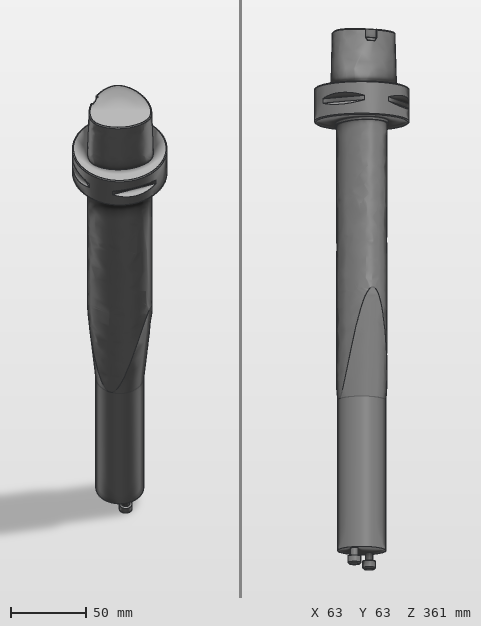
import cadquery as cq
import math

TOTAL_LENGTH = 361.0
SHANK_BOTTOM = 11.0
SHANK_TOP = 112.5
TAPER_TOP = 185.5
FLANGE_BOTTOM = 300.7
FLANGE_TOP = 323.5

SHANK_DIAMETER = 32.0
BODY_WIDTH = 45.0

FLANGE_DIAMETER = 63.0
FLANGE_CHAMFER = 0.7
COLLAR_HEIGHT = 1.8
COLLAR_MARGIN = 1.0

GROOVE_LENGTH = 31.0
GROOVE_FLOOR_HEIGHT = 3.0
GROOVE_MOUTH_HEIGHT = 8.0
GROOVE_COUNT = 4
FIRST_GROOVE_ANGLE = 45

COUPLING_BASE_RADIUS = 22.0
COUPLING_TOP_RADIUS = 21.0
LOBE_HEIGHT = 1.5
LOBE_COUNT = 3
OUTLINE_POINTS = 36
COUPLING_CHAMFER = 0.7

NOTCH_WIDTH = 8.0
NOTCH_FLOOR_WIDTH = 5.0
NOTCH_STRAIGHT_DEPTH = 5.8
NOTCH_DEPTH = 8.0
NOTCH_INSET = 1.8
NOTCH_TIP_INSET = 0.7

PIN_OFFSET = 8.0
PIN_STEM_DIAMETER = 5.0
PIN_HEAD_DIAMETER = 8.5
PIN_HEAD_HEIGHT = 5.5
PIN_CHAMFER = 1.0


def cylinder(diameter, bottom, top):
    return cq.Workplane("XY").workplane(offset=bottom).circle(diameter / 2).extrude(top - bottom)


def elliptical_prism(margin, bottom, top):
    """Body section grown by a margin, between two heights."""
    half_width = BODY_WIDTH / 2 + margin
    half_depth = SHANK_DIAMETER / 2 + margin
    return cq.Workplane("XY").workplane(offset=bottom).ellipse(half_width, half_depth).extrude(top - bottom)


def make_body():
    """Elliptical body, trimmed by a cone down to the round shank."""
    envelope = (
        cq.Workplane("XZ")
        .moveTo(0, SHANK_TOP)
        .lineTo(SHANK_DIAMETER / 2, SHANK_TOP)
        .lineTo(BODY_WIDTH / 2, TAPER_TOP)
        .lineTo(FLANGE_DIAMETER / 2, TAPER_TOP)
        .lineTo(FLANGE_DIAMETER / 2, FLANGE_BOTTOM)
        .lineTo(0, FLANGE_BOTTOM)
        .close()
        .revolve(360, (0, 0, 0), (0, 1, 0))
    )
    return elliptical_prism(0, SHANK_TOP, FLANGE_BOTTOM).intersect(envelope)


def make_flange():
    """Round flange with straight trapezoidal gripper grooves."""
    flange = cylinder(FLANGE_DIAMETER, FLANGE_BOTTOM, FLANGE_TOP).edges().chamfer(FLANGE_CHAMFER)
    outer = FLANGE_DIAMETER / 2
    floor = math.sqrt(outer**2 - (GROOVE_LENGTH / 2) ** 2)
    middle = (FLANGE_BOTTOM + FLANGE_TOP) / 2
    half_floor = GROOVE_FLOOR_HEIGHT / 2
    half_mouth = GROOVE_MOUTH_HEIGHT / 2
    cutter = (
        cq.Workplane("XZ")
        .polyline([
            (floor, middle - half_floor),
            (outer, middle - half_mouth),
            (outer, middle + half_mouth),
            (floor, middle + half_floor),
        ])
        .close()
        .extrude(outer, both=True)
    )
    for index in range(GROOVE_COUNT):
        angle = FIRST_GROOVE_ANGLE + index * 360 / GROOVE_COUNT
        flange = flange.cut(cutter.rotate((0, 0, 0), (0, 0, 1), angle))
    return flange


def lobed_point(mean_radius, angle):
    """Point where the rounded three-lobed outline faces the given angle."""
    reach = mean_radius + LOBE_HEIGHT * math.cos(LOBE_COUNT * angle)
    slope = -LOBE_COUNT * LOBE_HEIGHT * math.sin(LOBE_COUNT * angle)
    x = reach * math.cos(angle) - slope * math.sin(angle)
    y = reach * math.sin(angle) + slope * math.cos(angle)
    return x, y


def lobed_outline(mean_radius):
    angles = [2 * math.pi * index / OUTLINE_POINTS for index in range(OUTLINE_POINTS)]
    return [lobed_point(mean_radius, angle) for angle in angles]


def notch_cutter(outline, inset):
    """Prism that cuts a Y-Z outline into the -X side of the coupling."""
    floor = COUPLING_TOP_RADIUS - LOBE_HEIGHT - inset
    return (
        cq.Workplane("YZ")
        .workplane(offset=-COUPLING_BASE_RADIUS)
        .polyline(outline)
        .close()
        .extrude(COUPLING_BASE_RADIUS - floor)
    )


def make_coupling():
    """Tapered three-lobed coupling with an orientation notch on its -X side."""
    coupling = (
        cq.Workplane("XY")
        .workplane(offset=FLANGE_TOP)
        .spline(lobed_outline(COUPLING_BASE_RADIUS), periodic=True)
        .close()
        .workplane(offset=TOTAL_LENGTH - FLANGE_TOP)
        .spline(lobed_outline(COUPLING_TOP_RADIUS), periodic=True)
        .close()
        .loft(ruled=True)
        .faces(">Z")
        .edges()
        .chamfer(COUPLING_CHAMFER)
    )
    shoulder = TOTAL_LENGTH - NOTCH_STRAIGHT_DEPTH
    bottom = TOTAL_LENGTH - NOTCH_DEPTH
    half_width = NOTCH_WIDTH / 2
    half_floor = NOTCH_FLOOR_WIDTH / 2
    slot = notch_cutter(
        [
            (-half_width, TOTAL_LENGTH),
            (-half_width, shoulder),
            (half_width, shoulder),
            (half_width, TOTAL_LENGTH),
        ],
        NOTCH_INSET,
    )
    tip = notch_cutter(
        [
            (-half_width, shoulder),
            (-half_floor, bottom),
            (half_floor, bottom),
            (half_width, shoulder),
        ],
        NOTCH_TIP_INSET,
    )
    return coupling.cut(slot).cut(tip)


def make_pin(x, y):
    """Headed pin hanging below the shank."""
    stem = cylinder(PIN_STEM_DIAMETER, PIN_HEAD_HEIGHT, SHANK_BOTTOM)
    head = cylinder(PIN_HEAD_DIAMETER, 0, PIN_HEAD_HEIGHT).faces("<Z").edges().chamfer(PIN_CHAMFER)
    return head.union(stem).translate((x, y, 0))


result = cylinder(SHANK_DIAMETER, SHANK_BOTTOM, SHANK_TOP)
result = result.union(make_body())
result = result.union(elliptical_prism(COLLAR_MARGIN, FLANGE_BOTTOM - COLLAR_HEIGHT, FLANGE_BOTTOM))
result = result.union(make_flange())
result = result.union(make_coupling())
for side in (-1, 1):
    result = result.union(make_pin(side * PIN_OFFSET, -side * PIN_OFFSET))